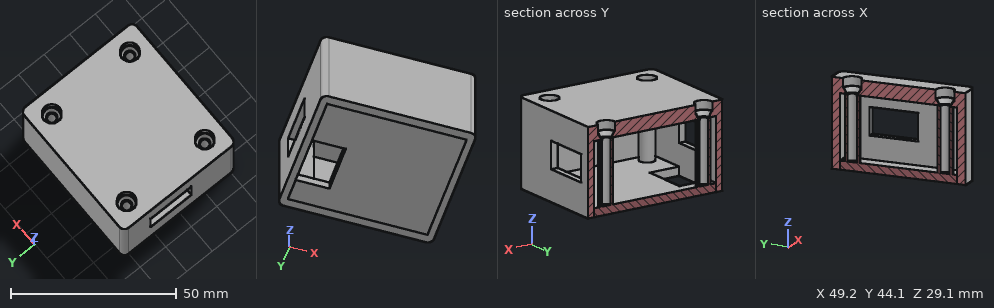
import cadquery as cq

LENGTH = 49.2
WIDTH = 44.1
HEIGHT = 29.1
CORNER_RADIUS = 2.0

END_WALL = 2.4
SIDE_WALL = 2.9
ROOF = 5.0

WINDOW_WIDTH = 16.0
WINDOW_HEIGHT = 9.0
WINDOW_BOTTOM = 10.5
WINDOW_OFFSET_Y = 3.5

SCREW_INSET = 6.8
COUNTERBORE_DIAMETER = 6.0
COUNTERBORE_DEPTH = 3.0
COUNTERSINK_DIAMETER = 5.5
COUNTERSINK_DEPTH = 1.7
CLEARANCE_DIAMETER = 3.5

PLATE = 3.0
POST_DIAMETER = 5.0
PILOT_DIAMETER = 2.9

NOTCH_END_X = 13.15

CENTER = (LENGTH / 2, WIDTH / 2)
CAVITY_LENGTH = LENGTH - 2 * END_WALL
CAVITY_WIDTH = WIDTH - 2 * SIDE_WALL
WINDOW_CENTER_Y = WIDTH / 2 + WINDOW_OFFSET_Y
ROOF_BOTTOM = HEIGHT - ROOF
SCREW_POINTS = [
    (x, y)
    for x in (SCREW_INSET, LENGTH - SCREW_INSET)
    for y in (SCREW_INSET, WIDTH - SCREW_INSET)
]


def block(length, width, bottom, top):
    """Box centred on the part in X and Y, between two heights."""
    return (
        cq.Workplane("XY", origin=(*CENTER, bottom))
        .rect(length, width)
        .extrude(top - bottom)
    )


def window_strip(start_x, end_x, bottom, top):
    """Box as wide as the window and in line with it, between two X positions and two heights."""
    strip = cq.Workplane("XY").box(
        end_x - start_x, WINDOW_WIDTH, top - bottom, centered=(False, True, False)
    )
    return strip.translate((start_x, WINDOW_CENTER_Y, bottom))


def screw_cutter(x, y):
    """Revolved outline of one countersunk and counterbored hole through the roof."""
    bore_bottom = HEIGHT - COUNTERBORE_DEPTH
    sink_bottom = bore_bottom - COUNTERSINK_DEPTH
    outline = [
        (0, ROOF_BOTTOM),
        (CLEARANCE_DIAMETER / 2, ROOF_BOTTOM),
        (CLEARANCE_DIAMETER / 2, sink_bottom),
        (COUNTERSINK_DIAMETER / 2, bore_bottom),
        (COUNTERBORE_DIAMETER / 2, bore_bottom),
        (COUNTERBORE_DIAMETER / 2, HEIGHT),
        (0, HEIGHT),
    ]
    return (
        cq.Workplane("XZ")
        .polyline(outline)
        .close()
        .revolve(360, (0, 0), (0, 1))
        .translate((x, y, 0))
    )


def make_housing():
    """Rounded shell with a roof, end windows and screw holes."""
    shell = block(LENGTH, WIDTH, 0, HEIGHT).edges("|Z").fillet(CORNER_RADIUS)
    shell = shell.cut(block(CAVITY_LENGTH, CAVITY_WIDTH, 0, ROOF_BOTTOM))
    window_top = WINDOW_BOTTOM + WINDOW_HEIGHT
    shell = shell.cut(window_strip(0, LENGTH, WINDOW_BOTTOM, window_top))
    for x, y in SCREW_POINTS:
        shell = shell.cut(screw_cutter(x, y))
    return shell


def make_base():
    """Plate with four posts that reach the roof, drilled down to the plate."""
    base = block(CAVITY_LENGTH, CAVITY_WIDTH, 0, PLATE)
    base = base.cut(window_strip(END_WALL, NOTCH_END_X, 0, PLATE))
    posts = (
        cq.Workplane("XY", origin=(0, 0, PLATE))
        .pushPoints(SCREW_POINTS)
        .circle(POST_DIAMETER / 2)
        .circle(PILOT_DIAMETER / 2)
        .extrude(ROOF_BOTTOM - PLATE)
    )
    return base.union(posts)


housing = make_housing()
base = make_base()
result = cq.Compound.makeCompound([housing.val(), base.val()])